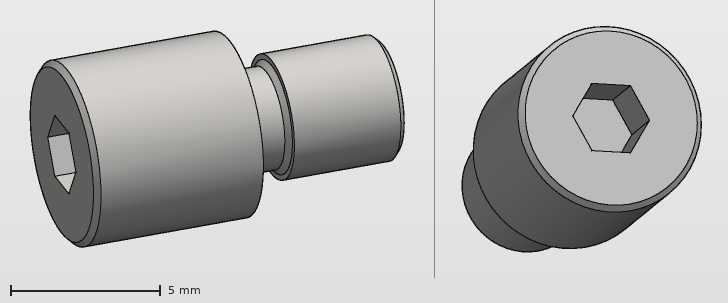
import cadquery as cq
import math

total_length = 11.5
head_diameter = 6.35
head_length = 6.0
neck_diameter = 3.53
neck_length = 1.5
shank_diameter = 4.3
edge_chamfer = 0.2
socket_across_flats = 2.3
socket_depth = 2.3

head_radius = head_diameter / 2
neck_radius = neck_diameter / 2
shank_radius = shank_diameter / 2
flare_radius = neck_radius + edge_chamfer
shank_start = head_length + neck_length


def turned_body():
    """Revolve the half profile (radius, Y) about the Y axis."""
    profile = [
        (0, 0),
        (head_radius - edge_chamfer, 0),
        (head_radius, edge_chamfer),
        (head_radius, head_length),
        (flare_radius, head_length),
        (neck_radius, head_length + edge_chamfer),
        (neck_radius, shank_start - edge_chamfer),
        (flare_radius, shank_start),
        (shank_radius, shank_start),
        (shank_radius, total_length - edge_chamfer),
        (shank_radius - edge_chamfer, total_length),
        (0, total_length),
    ]
    return cq.Workplane("XY").polyline(profile).close().revolve(360, (0, 0), (0, 1))


def hex_socket():
    """Hexagonal prism entering the head face, with two corners on the X axis."""
    across_corners = socket_across_flats / math.cos(math.pi / 6)
    return cq.Workplane("XZ").polygon(6, across_corners).extrude(-socket_depth)


result = turned_body().cut(hex_socket())